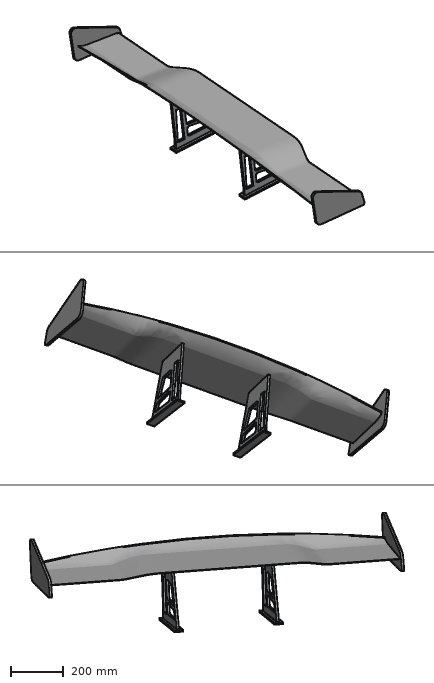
import cadquery as cq


SPAN = 1410.0

PLATE_THICKNESS = 10.0
PLATE_FRONT_TOP = (-4.0, 347.0)
PLATE_FRONT_BOTTOM = (21.0, 175.0)
PLATE_REAR_BOTTOM = (264.0, 162.0)
PLATE_REAR_TOP = (244.0, 231.0)
PLATE_TOP_FRONT_RADIUS = 17.0
PLATE_LOW_FRONT_RADIUS = 28.0
PLATE_LOW_REAR_RADIUS = 10.0
PLATE_TOP_REAR_RADIUS = 28.0

WING_HALF_SPAN = SPAN / 2 - PLATE_THICKNESS
RAMP_FOOT_OUTER = 416.0
RAMP_FOOT_INNER = 390.0
RAMP_HEAD_OUTER = 340.0
RAMP_HEAD_INNER = 274.0
RAMP_RISE = 25.0

SLOPE = 0.12
TRAIL_TIP_Y = 238.0
TRAIL_CENTRE_Y = 279.0
TRAIL_TIP_Z = 210.0
TRAIL_THICKNESS = 5.0
CREASE_Y = 82.0
CREASE_THICKNESS = 7.0
NOSE_THICKNESS = 7.0
LEAD_TIP_Y = 35.0
LEAD_CENTRE_Y = 20.0
LEAD_TIP_Z = 245.0
LEAD_CENTRE_Z = 295.0
LEAD_THICKNESS = 4.0

TRAIL_SHIFT = (TRAIL_CENTRE_Y - TRAIL_TIP_Y) / RAMP_RISE
CREASE_TIP_Z = TRAIL_TIP_Z + SLOPE * (TRAIL_TIP_Y - CREASE_Y)
CREASE_RISE = RAMP_RISE + SLOPE * (TRAIL_CENTRE_Y - TRAIL_TIP_Y)


def inside_wing_z(y):
    """Height halfway through the raised centre of the wing."""
    return CREASE_TIP_Z + CREASE_RISE - SLOPE * (y - CREASE_Y) - CREASE_THICKNESS / 2


FOOT_WIDTH = 34.0
FOOT_HEIGHT = 7.0
FOOT_FRONT_Y = 83.0
FOOT_REAR_Y = 288.0

PYLON_X = 199.0
PYLON_THICKNESS = 10.0
PYLON_REAR_Y = 274.0
PYLON_FRONT_Y = 93.0
PYLON_KNEE_Z = 41.0
PYLON_TOP_FRONT_Y = 69.0
PYLON_TOP_REAR_Y = 199.0
PYLON_OUTLINE = [
    (PYLON_REAR_Y, FOOT_HEIGHT),
    (PYLON_FRONT_Y, FOOT_HEIGHT),
    (PYLON_FRONT_Y, PYLON_KNEE_Z),
    (PYLON_TOP_FRONT_Y, inside_wing_z(PYLON_TOP_FRONT_Y)),
    (PYLON_TOP_REAR_Y, inside_wing_z(PYLON_TOP_REAR_Y)),
]
SLOT = [(137.0, 34.0), (103.0, 34.0), (93.0, 190.0), (118.0, 190.0)]
UPPER_WINDOW = [(233.0, 89.0), (147.0, 97.0), (137.0, 173.0), (197.0, 166.0)]
LOWER_WINDOW = [(250.0, 38.0), (154.0, 38.0), (148.0, 86.0), (235.0, 72.0)]
WINDOW_RADIUS = 10.0

HALF_STATIONS = [WING_HALF_SPAN, RAMP_FOOT_OUTER, RAMP_FOOT_INNER, RAMP_HEAD_OUTER, RAMP_HEAD_INNER]
STATIONS = [-x for x in HALF_STATIONS] + HALF_STATIONS[::-1]

STRAIGHT_TOLERANCE = 1.41e-05

CORNER_MARGIN = 0.7


def ramp(x):
    """Height fraction of the raised centre: 0 at the tips, 1 in the middle, with tangent bends."""
    foot = RAMP_FOOT_OUTER - RAMP_FOOT_INNER
    straight = RAMP_FOOT_INNER - RAMP_HEAD_OUTER
    head = RAMP_HEAD_OUTER - RAMP_HEAD_INNER
    grade = 1 / (foot / 2 + straight + head / 2)
    x = abs(x)
    if x >= RAMP_FOOT_OUTER:
        return 0.0
    if x >= RAMP_FOOT_INNER:
        return grade * (RAMP_FOOT_OUTER - x) ** 2 / (2 * foot)
    if x >= RAMP_HEAD_OUTER:
        return grade * (foot / 2 + RAMP_FOOT_INNER - x)
    if x >= RAMP_HEAD_INNER:
        return 1 - grade * (x - RAMP_HEAD_INNER) ** 2 / (2 * head)
    return 1.0


def arch(x):
    """Height fraction of the leading edge, a shallow arch over the whole span."""
    return 1 - (x / WING_HALF_SPAN) ** 2


def trailing_edge(x):
    rise = RAMP_RISE * ramp(x)
    return (x, TRAIL_TIP_Y + TRAIL_SHIFT * rise, TRAIL_TIP_Z + rise)


def crease(x):
    return (x, CREASE_Y, CREASE_TIP_Z + CREASE_RISE * ramp(x))


def leading_edge(x):
    y = LEAD_TIP_Y + (LEAD_CENTRE_Y - LEAD_TIP_Y) * arch(x)
    z = LEAD_TIP_Z + (LEAD_CENTRE_Z - LEAD_TIP_Z) * arch(x)
    return (x, y, z)


def nose_middle(x):
    """Halfway point of the upward curl, which leaves the crease along the slope of the wing."""
    _, y0, z0 = crease(x)
    _, y2, z2 = leading_edge(x)
    y1 = (y0 + y2) / 2
    z1 = z0 + SLOPE * (y0 - y1)
    return (x, (y0 + 2 * y1 + y2) / 4, (z0 + 2 * z1 + z2) / 4)


def spanwise_outline(edge_point, thickness, depth_shift):
    """Closed outline through the wing, following one spanwise line.

    The lower side is moved toward -Y by depth_shift per unit of thickness.
    """

    def upper(x):
        return cq.Vector(*edge_point(x))

    def lower(x):
        return upper(x) - cq.Vector(0, depth_shift * thickness, thickness)

    edges = []
    for point, stations in ((upper, STATIONS), (lower, STATIONS[::-1])):
        for start, end in zip(stations, stations[1:]):
            ends = (point(start), point(end))
            middle = point((start + end) / 2)
            if (middle - (ends[0] + ends[1]) / 2).Length < STRAIGHT_TOLERANCE:
                edges.append(cq.Edge.makeLine(*ends))
            else:
                edges.append(cq.Edge.makeThreePointArc(ends[0], middle, ends[1]))
        other = lower if point is upper else upper
        edges.append(cq.Edge.makeLine(point(stations[-1]), other(stations[-1])))
    return cq.Wire.assembleEdges(edges)


def make_wing():
    lead_shift = (LEAD_CENTRE_Y - LEAD_TIP_Y) / (LEAD_CENTRE_Z - LEAD_TIP_Z)
    tail = spanwise_outline(trailing_edge, TRAIL_THICKNESS, TRAIL_SHIFT)
    bend = spanwise_outline(crease, CREASE_THICKNESS, 0)
    curl = spanwise_outline(nose_middle, NOSE_THICKNESS, 0)
    lip = spanwise_outline(leading_edge, LEAD_THICKNESS, lead_shift)
    blade = cq.Workplane(obj=cq.Solid.makeLoft([tail, bend], True))
    nose = cq.Workplane(obj=cq.Solid.makeLoft([bend, curl, lip]))
    return blade.union(nose)


def side_panel(points, x_centre, thickness):
    """Flat panel across X with a (Y, Z) outline."""
    plane = cq.Workplane("YZ", origin=(x_centre - thickness / 2, 0, 0))
    return plane.polyline(points).close().extrude(thickness)


def round_corner(panel, corner, radius):
    """Fillet the X-parallel edge of a panel at a (Y, Z) corner."""
    y, z = corner
    margin = CORNER_MARGIN
    box = cq.selectors.BoxSelector((-SPAN, y - margin, z - margin), (SPAN, y + margin, z + margin))
    return panel.edges("|X").edges(box).fillet(radius)


def make_end_plate():
    corners = {
        PLATE_FRONT_TOP: PLATE_TOP_FRONT_RADIUS,
        PLATE_FRONT_BOTTOM: PLATE_LOW_FRONT_RADIUS,
        PLATE_REAR_BOTTOM: PLATE_LOW_REAR_RADIUS,
        PLATE_REAR_TOP: PLATE_TOP_REAR_RADIUS,
    }
    plate = side_panel(list(corners), (PLATE_THICKNESS - SPAN) / 2, PLATE_THICKNESS)
    for corner, radius in corners.items():
        plate = round_corner(plate, corner, radius)
    return plate


def make_pylon():
    """Windowed panel standing on its foot; the top runs into the wing."""
    pylon = side_panel(PYLON_OUTLINE, PYLON_X, PYLON_THICKNESS)
    cutter = 2 * PYLON_THICKNESS
    pylon = pylon.cut(side_panel(SLOT, PYLON_X, cutter))
    for window in (UPPER_WINDOW, LOWER_WINDOW):
        opening = side_panel(window, PYLON_X, cutter)
        for corner in window[1:]:
            opening = round_corner(opening, corner, WINDOW_RADIUS)
        pylon = pylon.cut(opening)
    foot_length = FOOT_REAR_Y - FOOT_FRONT_Y
    foot = cq.Workplane("XY").box(FOOT_WIDTH, foot_length, FOOT_HEIGHT, centered=(True, False, False))
    return pylon.union(foot.translate((PYLON_X, FOOT_FRONT_Y, 0)))


result = make_wing()
for part in (make_end_plate(), make_pylon()):
    result = result.union(part).union(part.mirror("YZ"))